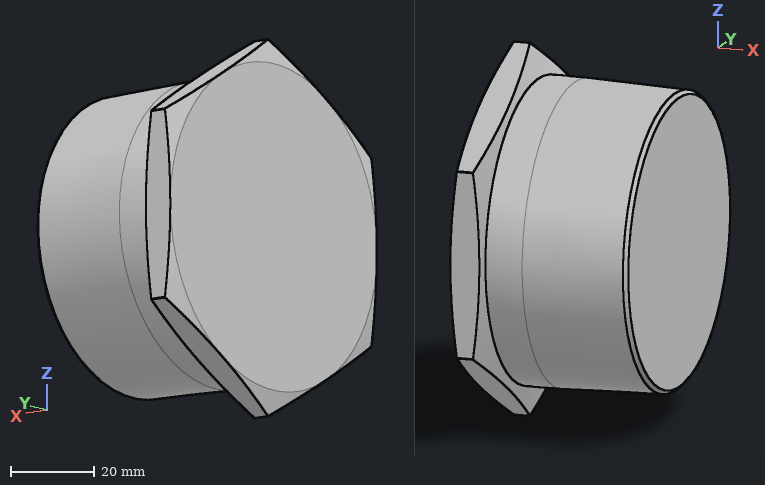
import cadquery as cq
import math

across_flats = 80.0
corner_diameter = 92.3
head_thickness = 8.1
head_chamfer_angle = 15.0

total_length = 44.0
body_diameter = 75.2
straight_end = 17.5
thread_taper = 1 / 16
tip_chamfer = 1.0

face_radius = across_flats / 2
corner_radius = corner_diameter / 2
body_radius = body_diameter / 2


def revolve_about_x(profile):
    """Turn a half profile of (x, radius) points into a solid about the X axis."""
    return cq.Workplane("XY").polyline(profile).close().revolve(360, (0, 0, 0), (1, 0, 0))


def make_head():
    """Hexagon head with conical chamfers; the rear cone runs in to the plug body."""
    across_corners = across_flats / math.cos(math.radians(30))
    hexagon = (
        cq.Workplane("YZ")
        .transformed(rotate=(0, 0, 90))
        .polygon(6, across_corners)
        .extrude(head_thickness)
    )
    chamfer_slope = math.tan(math.radians(head_chamfer_angle))
    front_corner = (corner_radius - face_radius) * chamfer_slope
    rear_corner = head_thickness - (corner_radius - body_radius) * chamfer_slope
    turned_blank = revolve_about_x([
        (0, 0),
        (0, face_radius),
        (front_corner, corner_radius),
        (rear_corner, corner_radius),
        (head_thickness, body_radius),
        (head_thickness, 0),
    ])
    return hexagon.intersect(turned_blank)


def make_body():
    """Straight neck, then a slight taper that ends in a chamfered tip."""
    taper_end = total_length - tip_chamfer
    tip_radius = body_radius - thread_taper * (taper_end - straight_end) / 2
    return revolve_about_x([
        (0, 0),
        (0, body_radius),
        (straight_end, body_radius),
        (taper_end, tip_radius),
        (total_length, tip_radius - tip_chamfer),
        (total_length, 0),
    ])


result = make_head().union(make_body())